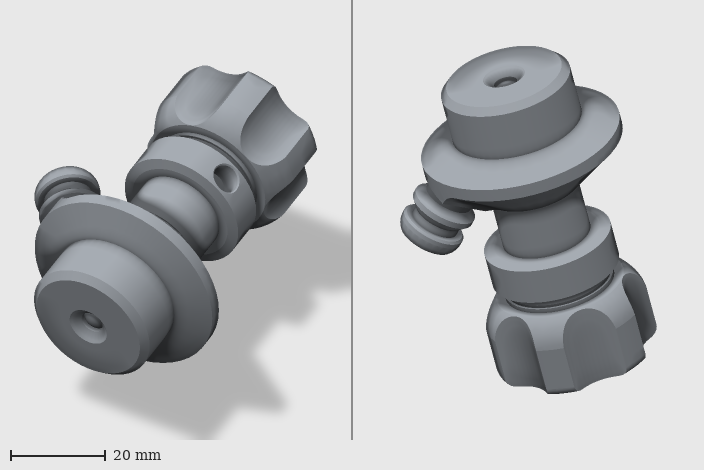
import cadquery as cq
import math


base_radius = 28.0 / 2
base_length = 12.0
base_chamfer = 1.5
rim_radius = 43.0 / 2
rim_start = 15.0
rim_end = 17.8
shoulder_radius = 20.6 / 2
shoulder_end = 27.05

stem_radius = 19.0 / 2
collar_radius = 27.5 / 2
collar_start = 39.1
collar_end = 47.95
collar_face_radius = 23.0 / 2
collar_bevel_below = 0.6
collar_bevel_above = 0.55
neck_radius = 23.0 / 2
neck_end = 50.15
neck_bevel_height = 0.7
neck_bevel_depth = 0.2
washer_radius = 23.6 / 2

knob_start = 51.1
knob_end = 68.5
knob_radius = 34.95 / 2
knob_foot_radius = 13.85
knob_side_start = 57.0
knob_curve_radius = 8.8
knob_top_round = 2.05
flute_count = 6
flute_radius = 16.5 / 2
flute_floor_radius = 13.9
first_flute_angle = 48.2

screw_hole_diameter = 6.0
screw_hole_bevel = 0.31
screw_hole_y = 43.65
screw_hole_angle = 50.0
screw_hole_floor_radius = 8.2

inlet_mouth_radius = 9.05 / 2
inlet_radius = 5.0 / 2
inlet_cone_depth = 1.6
ball_radius = 3.4
ball_top_depth = 1.6

port_tilt = math.atan2(shoulder_end - rim_end, rim_radius - shoulder_radius)
port_axis_y = 3.8
port_face_distance = 38.9
port_face_radius = 11.9 / 2
port_barb_radius = 14.0 / 2
port_neck_radius = 10.5 / 2
port_bore_radius = 5.0 / 2
port_bore_depth = 17.1
port_mouth_radius = 8.1 / 2
port_mouth_depth = 1.7
port_root_bevel = 0.55
port_sink = 5.15
lip_side_start = 2.55
lip_side_end = 3.5
lip_end = 4.0
barb_start = 5.8
barb_side_start = 7.75
barb_side_end = 9.05
barb_end = 10.6

pad_edge_angle = 47.7
pad_hollow_angle = 21.0
pad_reach = 41.1


def turned(points):
    """Solid of revolution about Y from (radius, y) points."""
    return cq.Workplane("XY").polyline(points).close().revolve(360, (0, 0, 0), (0, 1, 0))


def axial_cylinder(radius, start, end):
    """Cylinder on the main axis from Y = start to Y = end."""
    return cq.Workplane("XZ", origin=(0, start, 0)).circle(radius).extrude(start - end)


def make_body():
    """Base, flange, stem, collar and neck turned in one piece."""
    return turned([
        (0, 0),
        (base_radius - base_chamfer, 0),
        (base_radius, base_chamfer),
        (base_radius, base_length),
        (rim_radius, rim_start),
        (rim_radius, rim_end),
        (shoulder_radius, shoulder_end),
        (stem_radius, shoulder_end),
        (stem_radius, collar_start),
        (collar_face_radius, collar_start),
        (collar_radius, collar_start + collar_bevel_below),
        (collar_radius, collar_end - collar_bevel_above),
        (neck_radius, collar_end),
        (neck_radius, neck_end - neck_bevel_height),
        (neck_radius - neck_bevel_depth, neck_end),
        (washer_radius, neck_end),
        (washer_radius, knob_start),
        (0, knob_start),
    ])


def make_knob():
    """Round hand knob with finger flutes along its full length."""
    blank = (
        cq.Workplane("XY")
        .moveTo(0, knob_start)
        .lineTo(knob_foot_radius, knob_start)
        .radiusArc((knob_radius, knob_side_start), -knob_curve_radius)
        .lineTo(knob_radius, knob_end)
        .lineTo(0, knob_end)
        .close()
        .revolve(360, (0, 0, 0), (0, 1, 0))
        .faces(">Y")
        .edges()
        .fillet(knob_top_round)
    )
    flute_center = flute_floor_radius + flute_radius
    for index in range(flute_count):
        angle = math.radians(first_flute_angle + index * 360 / flute_count)
        flute = axial_cylinder(flute_radius, knob_start, knob_end).translate(
            (flute_center * math.cos(angle), 0, flute_center * math.sin(angle))
        )
        blank = blank.cut(flute)
    return blank


def port_frame(distance):
    """Plane square to the port axis; its x direction climbs the shoulder."""
    axis = (-math.sin(port_tilt), math.cos(port_tilt), 0)
    climb = (math.cos(port_tilt), math.sin(port_tilt), 0)
    origin = (distance * axis[0], port_axis_y + distance * axis[1], 0)
    return cq.Plane(origin=origin, xDir=climb, normal=axis)


pad_distance = rim_radius * math.sin(port_tilt) + (rim_end - port_axis_y) * math.cos(port_tilt)


def make_pad():
    """Flat pad touching the shoulder, its sides hollowed by two cones tangent to the shoulder.

    The hollow cones share the apex of the shoulder cone.
    """
    edge_angle = math.radians(pad_edge_angle)
    edge_x = -pad_reach * math.cos(edge_angle)
    edge_z = pad_reach * math.sin(edge_angle)
    sector = (
        cq.Workplane("XZ", origin=(0, rim_end, 0))
        .polyline([(0, 0), (edge_x, edge_z), (-pad_reach, 0), (edge_x, -edge_z)])
        .close()
        .extrude(rim_end - shoulder_end)
        .intersect(axial_cylinder(rim_radius, rim_end, shoulder_end))
    )
    above_face = cq.Workplane(port_frame(pad_distance)).rect(2 * pad_reach, 2 * pad_reach).extrude(pad_reach)
    pad = sector.cut(above_face)

    apex_y = rim_end + rim_radius * math.tan(port_tilt)
    hollow_angle = math.radians(pad_hollow_angle)
    axis_angle = math.pi / 2 - port_tilt + hollow_angle
    for side in (-1, 1):
        axis = cq.Vector(
            -math.sin(axis_angle) * math.cos(edge_angle),
            -math.cos(axis_angle),
            side * math.sin(axis_angle) * math.sin(edge_angle),
        )
        hollow = cq.Solid.makeCone(
            0, pad_reach * math.tan(hollow_angle), pad_reach, cq.Vector(0, apex_y, 0), axis
        )
        pad = pad.cut(cq.Workplane(hollow))
    return pad


def make_port():
    """Barbed port and the bore to cut from it, both turned about the port axis."""
    frame = port_frame(0)
    profile = cq.Plane(origin=frame.origin, xDir=frame.xDir, normal=(0, 0, 1))
    face = port_face_distance
    lip_rise = port_barb_radius - port_face_radius
    lip_round = (lip_rise**2 + lip_side_start**2) / (2 * lip_rise)
    solid = (
        cq.Workplane(profile)
        .moveTo(0, face)
        .lineTo(port_face_radius, face)
        .radiusArc((port_barb_radius, face - lip_side_start), lip_round)
        .lineTo(port_barb_radius, face - lip_side_end)
        .lineTo(port_barb_radius - (lip_end - lip_side_end), face - lip_end)
        .lineTo(port_neck_radius, face - lip_end)
        .lineTo(port_neck_radius, face - barb_start)
        .lineTo(port_barb_radius, face - barb_side_start)
        .lineTo(port_barb_radius, face - barb_side_end)
        .lineTo(port_neck_radius, face - barb_end)
        .lineTo(port_neck_radius, pad_distance + port_root_bevel)
        .lineTo(port_neck_radius + port_root_bevel, pad_distance)
        .lineTo(port_neck_radius, pad_distance - port_sink)
        .lineTo(0, pad_distance - port_sink)
        .close()
        .revolve(360, (0, 0, 0), (0, 1, 0))
    )
    bore = (
        cq.Workplane(profile)
        .polyline([
            (0, face),
            (port_mouth_radius, face),
            (port_bore_radius, face - port_mouth_depth),
            (port_bore_radius, face - port_bore_depth),
            (0, face - port_bore_depth),
        ])
        .close()
        .revolve(360, (0, 0, 0), (0, 1, 0))
    )
    return solid, bore


def drill_screw_hole(body):
    """Blind radial hole in the collar with a bevelled mouth."""
    turn = math.radians(screw_hole_angle)
    outward = cq.Vector(math.cos(turn), 0, math.sin(turn))
    level = cq.Vector(0, screw_hole_y, 0)
    floor = cq.Plane(origin=level + outward * screw_hole_floor_radius, xDir=(0, 1, 0), normal=outward)
    bore = cq.Workplane(floor).circle(screw_hole_diameter / 2).extrude(collar_radius)
    mouth = level + outward * collar_radius
    return body.cut(bore).edges(cq.NearestToPointSelector(mouth)).chamfer(screw_hole_bevel)


def make_inlet():
    """Countersunk hole whose floor is the dome of the ball."""
    dome_base = ball_top_depth + ball_radius - math.sqrt(ball_radius**2 - inlet_radius**2)
    return (
        cq.Workplane("XY")
        .moveTo(0, 0)
        .lineTo(inlet_mouth_radius, 0)
        .lineTo(inlet_radius, inlet_cone_depth)
        .lineTo(inlet_radius, dome_base)
        .radiusArc((0, ball_top_depth), ball_radius)
        .close()
        .revolve(360, (0, 0, 0), (0, 1, 0))
    )


port, port_bore = make_port()
result = (
    drill_screw_hole(make_body())
    .union(make_knob())
    .union(make_pad())
    .union(port)
    .cut(port_bore)
    .cut(make_inlet())
)